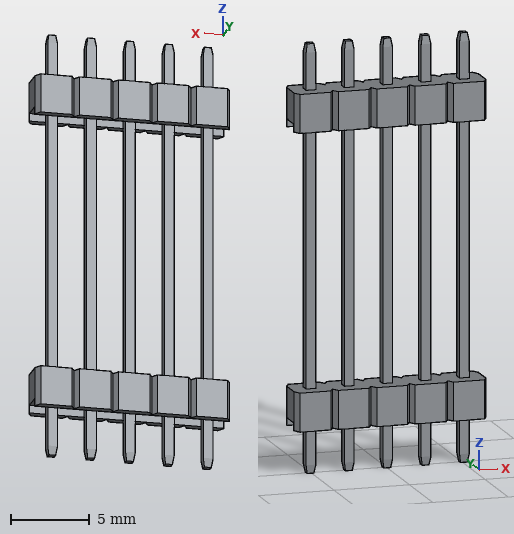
import cadquery as cq

pin_count = 5
row_length = 12.7
pitch = row_length / pin_count
total_height = 28.0

pin_width = 0.65
tip_width = 0.45
tip_height = 0.55

housing_depth = 2.55
housing_height = 2.55
housing_inset = 3.0
corner_x = 0.25
corner_y = 0.45
groove_width = 1.4
groove_depth = 0.5

pin_positions = [(i - (pin_count - 1) / 2) * pitch for i in range(pin_count)]


def make_cell(x, bottom):
    """One eight-sided housing cell; the cut corners of neighbours form V notches."""
    end = pitch / 2
    side = housing_depth / 2
    outline = [
        (-end, -side + corner_y),
        (-end + corner_x, -side),
        (end - corner_x, -side),
        (end, -side + corner_y),
        (end, side - corner_y),
        (end - corner_x, side),
        (-end + corner_x, side),
        (-end, side - corner_y),
    ]
    cell = cq.Workplane("XY").polyline(outline).close().extrude(housing_height)
    return cell.translate((x, 0, bottom))


def make_housing(bottom):
    """A row of joined cells with a channel running along the underside."""
    housing = make_cell(pin_positions[0], bottom)
    for x in pin_positions[1:]:
        housing = housing.union(make_cell(x, bottom))
    groove = (
        cq.Workplane("XY")
        .box(row_length, groove_width, groove_depth, centered=(True, True, False))
        .translate((0, 0, bottom))
    )
    return housing.cut(groove)


def make_tip():
    """Tapered pin end pointing up, with its base at Z = 0."""
    return (
        cq.Workplane("XY")
        .rect(pin_width, pin_width)
        .workplane(offset=tip_height)
        .rect(tip_width, tip_width)
        .loft(ruled=True)
    )


def make_pin(x):
    """Square pin tapered at both ends, centred on Z = 0."""
    shank_height = total_height - 2 * tip_height
    shank = cq.Workplane("XY").box(pin_width, pin_width, shank_height)
    upper_tip = make_tip().translate((0, 0, shank_height / 2))
    lower_tip = upper_tip.mirror("XY")
    return shank.union(upper_tip).union(lower_tip).translate((x, 0, 0))


lower_housing_bottom = -total_height / 2 + housing_inset
upper_housing_bottom = total_height / 2 - housing_inset - housing_height

result = make_housing(lower_housing_bottom).union(make_housing(upper_housing_bottom))
for pin_x in pin_positions:
    result = result.union(make_pin(pin_x))